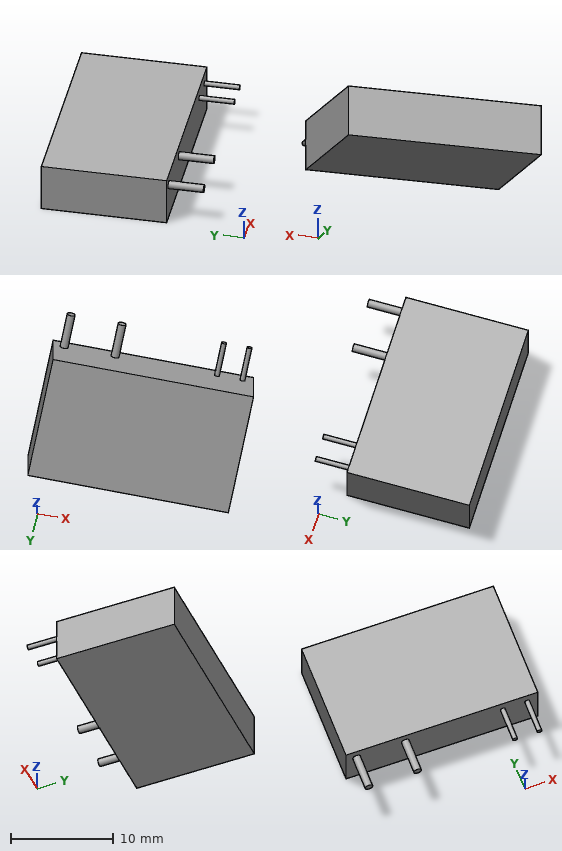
import cadquery as cq

body_length = 20.0
body_depth = 12.5
body_height = 5.0

pin_length = 3.5
pin_drop = 1.2
thick_pin_diameter = 0.8
thin_pin_diameter = 0.5

grid_pitch = 2.55
first_pin_inset = 1.1
thick_pin_steps = (0, 2)
thin_pin_steps = (6, 7)


def make_pins(grid_steps, diameter):
    """Pins of one diameter at the given grid steps, on the front face."""
    axes = [(first_pin_inset + step * grid_pitch, body_height - pin_drop) for step in grid_steps]
    return cq.Workplane("XZ").pushPoints(axes).circle(diameter / 2).extrude(pin_length)


body = cq.Workplane("XY").box(body_length, body_depth, body_height, centered=False)
thick_pins = make_pins(thick_pin_steps, thick_pin_diameter)
thin_pins = make_pins(thin_pin_steps, thin_pin_diameter)

result = body.union(thick_pins).union(thin_pins)